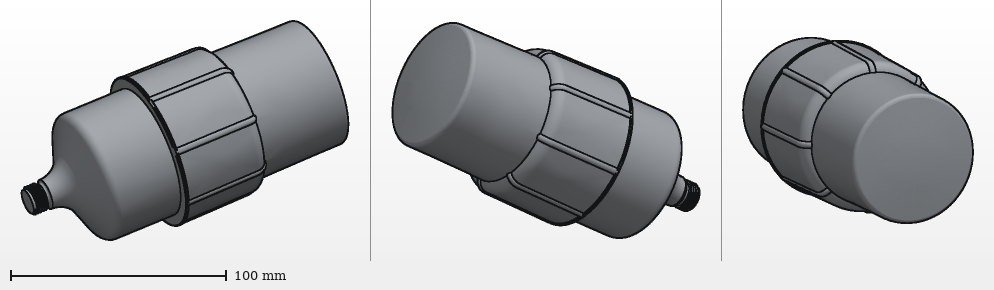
import cadquery as cq
import math

total_length = 155.4

thread_root_radius = 5.9
thread_crest_radius = 6.8
thread_pitch = 1.4
thread_start = 1.0
thread_length = 5.7
thread_overlap = 0.3
thread_base_width = 1.17
thread_crest_width = 0.2

relief_bottom = 7.6
relief_middle = 8.2
relief_radius = 5.7

neck_radius = 7.3
neck_start = 9.3
neck_fillet = 14.0
body_radius = 31.5
shoulder_fillet = 4.7
shoulder_top = 33.0
cone_angle = math.radians(60)

collar_bottom = 63.5
collar_top = 107.8
rim_height = 1.4
rim_radius = 37.0
rim_fillet = 0.5
collar_base_radius = 36.4
collar_shoulder_radius = 35.7
collar_fillet = 5.7
collar_arc_start = collar_top - collar_fillet
collar_arc_centre = collar_shoulder_radius - collar_fillet

rib_count = 8
rib_round = 2.0
rib_height = 0.8
rib_bottom = 64.0

cap_bottom_radius = 31.4
cap_top_radius = 30.8
dome_height = 2.3
cap_fillet = 2.0


def turned(profile):
    """Revolve an XZ profile about the Z axis."""
    return profile.close().revolve(360, (0, 0, 0), (0, 1, 0))


def make_body():
    """Threaded tip core, relief, flared neck, cone, rounded shoulder and cylinder."""
    turn = 1 - math.cos(cone_angle)
    half_turn = 1 - math.cos(cone_angle / 2)
    neck_mid = (
        neck_radius + neck_fillet * half_turn,
        neck_start + neck_fillet * math.sin(cone_angle / 2),
    )
    cone_small_end = (
        neck_radius + neck_fillet * turn,
        neck_start + neck_fillet * math.sin(cone_angle),
    )
    cone_large_end = (
        body_radius - shoulder_fillet * turn,
        shoulder_top - shoulder_fillet * math.sin(cone_angle),
    )
    shoulder_mid = (
        body_radius - shoulder_fillet * half_turn,
        shoulder_top - shoulder_fillet * math.sin(cone_angle / 2),
    )
    profile = (
        cq.Workplane("XZ")
        .lineTo(thread_root_radius, 0)
        .lineTo(thread_root_radius, relief_bottom)
        .threePointArc((relief_radius, relief_middle), (neck_radius, neck_start))
        .threePointArc(neck_mid, cone_small_end)
        .lineTo(*cone_large_end)
        .threePointArc(shoulder_mid, (body_radius, shoulder_top))
        .lineTo(body_radius, collar_bottom)
        .lineTo(0, collar_bottom)
    )
    return turned(profile)


def make_thread():
    """Helical ridge with a trapezoid section, sunk slightly into the core."""
    base_radius = thread_root_radius - thread_overlap
    helix = cq.Wire.makeHelix(thread_pitch, thread_length, thread_root_radius)
    section = cq.Workplane("XZ").polyline([
        (base_radius, -thread_base_width / 2),
        (thread_crest_radius, -thread_crest_width / 2),
        (thread_crest_radius, thread_crest_width / 2),
        (base_radius, thread_base_width / 2),
    ]).close()
    ridge = section.sweep(cq.Workplane(obj=helix), isFrenet=True)
    return ridge.translate((0, 0, thread_start))


def make_collar():
    """Tapered collar with a rounded upper edge and a thin rim at its lower end."""
    arc_mid = (
        collar_arc_centre + collar_fillet * math.sin(math.pi / 4),
        collar_arc_start + collar_fillet * math.cos(math.pi / 4),
    )
    profile = (
        cq.Workplane("XZ")
        .moveTo(0, collar_bottom)
        .lineTo(rim_radius, collar_bottom)
        .lineTo(rim_radius, collar_bottom + rim_height)
        .lineTo(collar_base_radius, collar_bottom + rim_height)
        .lineTo(collar_shoulder_radius, collar_arc_start)
        .threePointArc(arc_mid, (collar_arc_centre, collar_top))
        .lineTo(0, collar_top)
    )
    return turned(profile).faces("<Z").edges().fillet(rim_fillet)


def make_rib():
    """Round rib that climbs the collar side and follows its rounded upper edge."""
    inset = rib_round - rib_height
    path_fillet = collar_fillet - inset
    foot_radius = collar_base_radius - inset
    path = (
        cq.Workplane("XZ")
        .moveTo(foot_radius, rib_bottom)
        .lineTo(collar_arc_centre + path_fillet, collar_arc_start)
        .tangentArcPoint((collar_arc_centre, collar_arc_start + path_fillet), relative=False)
    )
    section = cq.Workplane("XY", origin=(foot_radius, 0, rib_bottom)).circle(rib_round)
    return section.sweep(path)


def make_cap():
    """Slightly tapered cap closed by a shallow dome with a rounded edge."""
    dome_base = total_length - dome_height
    dome_radius = (cap_top_radius**2 + dome_height**2) / (2 * dome_height)
    half_angle = math.asin(cap_top_radius / dome_radius) / 2
    dome_mid = (
        dome_radius * math.sin(half_angle),
        total_length - dome_radius * (1 - math.cos(half_angle)),
    )
    profile = (
        cq.Workplane("XZ")
        .moveTo(0, collar_bottom)
        .lineTo(cap_bottom_radius, collar_bottom)
        .lineTo(cap_bottom_radius, collar_top)
        .lineTo(cap_top_radius, dome_base)
        .threePointArc(dome_mid, (0, total_length))
    )
    dome_edge = cq.selectors.NearestToPointSelector((0, 0, dome_base))
    return turned(profile).edges(dome_edge).fillet(cap_fillet)


solid = make_body().union(make_collar()).union(make_cap())
rib = make_rib()
for index in range(rib_count):
    solid = solid.union(rib.rotate((0, 0, 0), (0, 0, 1), index * 360 / rib_count))
solid = solid.union(make_thread())

result = solid.rotate((0, 0, 0), (1, 0, 0), -90)